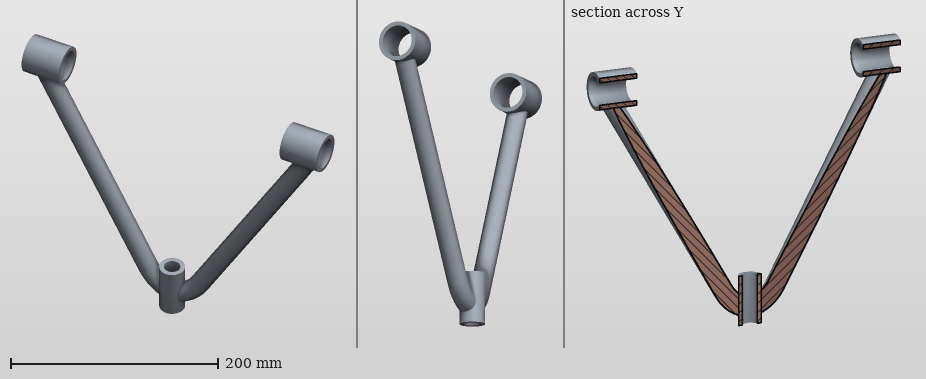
import cadquery as cq
import math

span = 320.0
height = 269.5
bushing_length = 40.0
bushing_diameter = 38.0
bushing_bore = 30.0
bushing_x = (span - bushing_length) / 2
bushing_z = height - bushing_diameter / 2

depth = 44.0
tube_length = 50.0
tube_diameter = 25.0
tube_bore = 16.0
tube_y = bushing_diameter / 2 + tube_diameter / 2 - depth

arm_diameter = 20.0
arm_lean = math.radians(30)
bend_radius = 40.0
bend_sweep = math.radians(50)
bend_start_z = 36.5
arm_foot_y = -10.5
arm_tip_y = -1.0
arm_end_z = 243.2


def cylinder_x(diameter, x):
    """Solid cylinder with the bushing's length and axis."""
    start = cq.Vector(x - bushing_length / 2, 0, bushing_z)
    return cq.Solid.makeCylinder(diameter / 2, bushing_length, start, cq.Vector(1, 0, 0))


def cylinder_z(diameter):
    """Solid cylinder with the pivot tube's length and axis."""
    return cq.Solid.makeCylinder(diameter / 2, tube_length, cq.Vector(0, tube_y, 0))


def make_bushing(side):
    x = side * bushing_x
    outer = cq.Workplane(obj=cylinder_x(bushing_diameter, x))
    return outer.cut(cq.Workplane(obj=cylinder_x(bushing_bore, x)))


def make_pivot_tube():
    outer = cq.Workplane(obj=cylinder_z(tube_diameter))
    return outer.cut(cq.Workplane(obj=cylinder_z(tube_bore)))


def make_arm(side):
    """Bent bar in a slightly turned vertical plane, coped to the tube and the bushing."""
    plane_x = cq.Vector(side * bushing_x, arm_tip_y - arm_foot_y, 0)
    side_normal = plane_x.cross(cq.Vector(0, 0, 1))
    arm_plane = cq.Plane(origin=(0, arm_foot_y, 0), xDir=plane_x, normal=side_normal)

    bushing_bottom_z = height - bushing_diameter
    bushing_distance = plane_x.Length

    def straight_point(z):
        return (bushing_distance + (z - bushing_bottom_z) * math.tan(arm_lean), z)

    bend_start = straight_point(bend_start_z)
    bend_centre = (
        bend_start[0] - bend_radius * math.cos(arm_lean),
        bend_start[1] + bend_radius * math.sin(arm_lean),
    )

    def bend_point(turn):
        angle = -arm_lean - turn
        return (
            bend_centre[0] + bend_radius * math.cos(angle),
            bend_centre[1] + bend_radius * math.sin(angle),
        )

    tip = straight_point(arm_end_z)
    path = (
        cq.Workplane(arm_plane)
        .moveTo(*tip)
        .lineTo(*bend_start)
        .threePointArc(bend_point(bend_sweep / 2), bend_point(bend_sweep))
    )
    tip_point = arm_plane.toWorldCoords(tip)
    bend_start_point = arm_plane.toWorldCoords(bend_start)
    profile_plane = cq.Plane(origin=tip_point, normal=bend_start_point - tip_point)
    bar = cq.Workplane(profile_plane).circle(arm_diameter / 2).sweep(path)

    bar = bar.cut(cq.Workplane(obj=cylinder_z(tube_diameter)))
    return bar.cut(cq.Workplane(obj=cylinder_x(bushing_diameter, side * bushing_x)))


pivot_tube = make_pivot_tube()
bushings = []
arms = []
for side in (-1, 1):
    bushings.append(make_bushing(side))
    arms.append(make_arm(side))

result = cq.Compound.makeCompound(
    [
        pivot_tube.val(),
        *[solid for bushing in bushings for solid in bushing.solids().vals()],
        *[solid for arm in arms for solid in arm.solids().vals()],
    ]
)